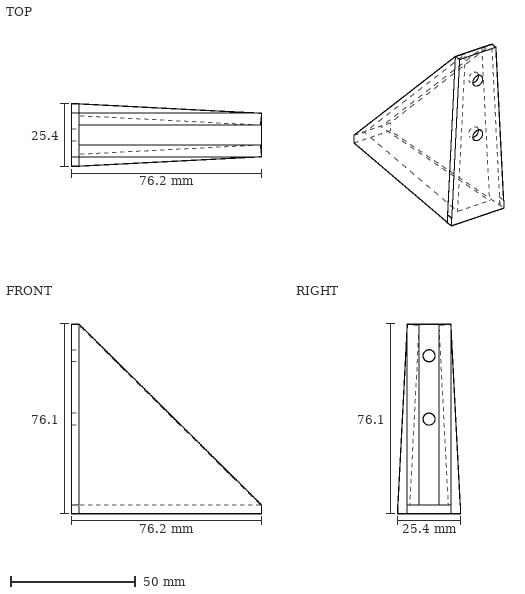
import cadquery as cq

length = 76.2
height = 76.1
corner_width = 25.4
tip_width = 17.5

back_thickness = 3.05
floor_thickness = 3.65
wall_thickness = 4.8

hole_diameter = 4.7
hole_heights = (38.0, 63.4)


def tapered_outline(plane, run):
    """Symmetric trapezoid, wide at the corner and narrow at the tip."""
    return (
        cq.Workplane(plane)
        .moveTo(0, -corner_width / 2)
        .lineTo(run, -tip_width / 2)
        .lineTo(run, tip_width / 2)
        .lineTo(0, corner_width / 2)
        .close()
    )


def make_floor():
    return tapered_outline("XY", length).extrude(floor_thickness)


def make_back():
    """Upright plate: the outline runs up Z and is thickened along +X."""
    upright = cq.Plane(origin=(0, 0, 0), xDir=(0, 0, 1), normal=(-1, 0, 0))
    return tapered_outline(upright, height).extrude(-back_thickness)


def make_wall():
    """Leaning triangular wall on the -Y side, flush with the plate edges."""
    taper = (corner_width - tip_width) / 2 / length
    inner_corner = cq.Vector(back_thickness, -corner_width / 2 + taper * back_thickness, floor_thickness)
    floor_tip = cq.Vector(length, -tip_width / 2, floor_thickness)
    back_tip = cq.Vector(back_thickness, -tip_width / 2, height)
    inward = (back_tip - inner_corner).cross(floor_tip - inner_corner).normalized()
    outer_face = cq.Wire.makePolygon([inner_corner, floor_tip, back_tip], close=True)
    return cq.Workplane(cq.Solid.extrudeLinear(outer_face, [], inward * wall_thickness))


def make_holes():
    return (
        cq.Workplane("YZ")
        .pushPoints([(0, z) for z in hole_heights])
        .circle(hole_diameter / 2)
        .extrude(back_thickness)
    )


wall = make_wall()
result = make_floor().union(make_back()).union(wall).union(wall.mirror("XZ")).cut(make_holes())